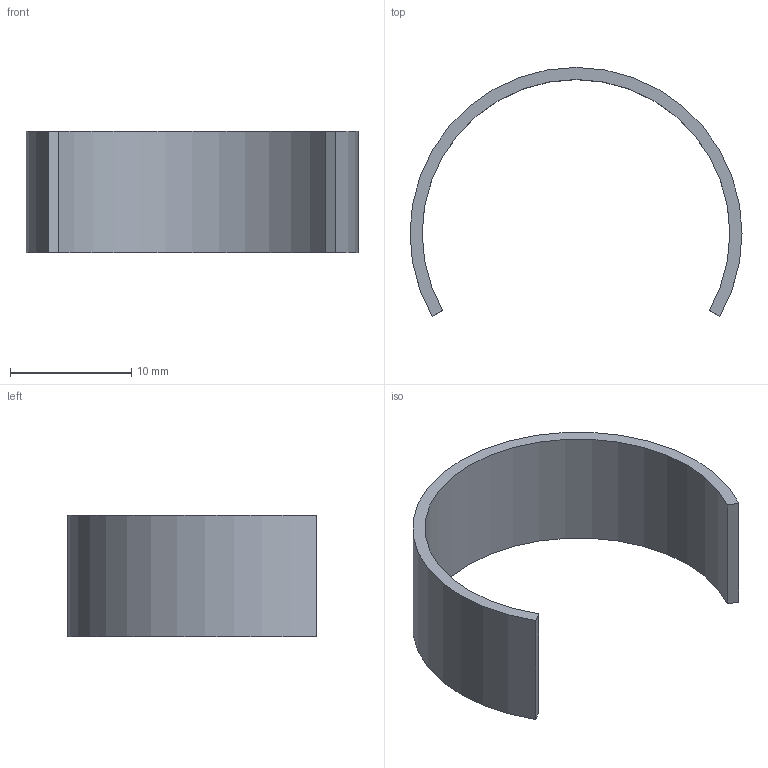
import cadquery as cq
import math

outer_radius = 13.7
wall_thickness = 1.0
height = 10.0
gap_angle = 120.0

inner_radius = outer_radius - wall_thickness
half_gap = gap_angle / 2


def point_on_circle(radius, angle_from_gap):
    """Point at an angle from -Y, positive towards +X."""
    angle = math.radians(angle_from_gap)
    return (radius * math.sin(angle), -radius * math.cos(angle))


def make_band():
    """Extrude the C-shaped outline, whose end faces are radial."""
    return (
        cq.Workplane("XY")
        .moveTo(*point_on_circle(outer_radius, half_gap))
        .threePointArc((0, outer_radius), point_on_circle(outer_radius, -half_gap))
        .lineTo(*point_on_circle(inner_radius, -half_gap))
        .threePointArc((0, inner_radius), point_on_circle(inner_radius, half_gap))
        .close()
        .extrude(height)
    )


result = make_band()